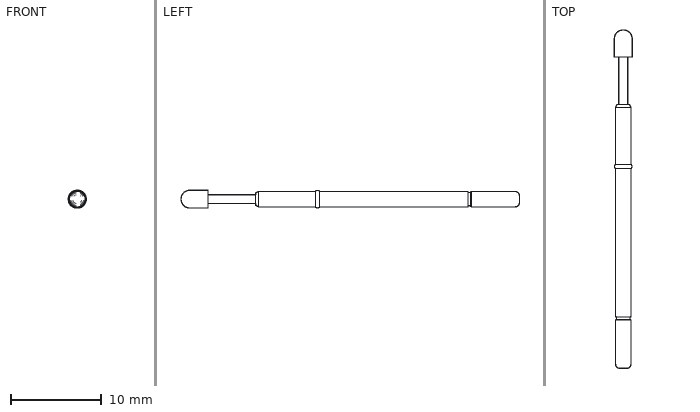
import cadquery as cq
import math


total_length = 37.3
head_length = 3.0
barrel_length = 29.08
bead_center = 22.25
bead_width = 0.48
groove_back = 5.32
groove_front = 5.68
groove_slope_length = 0.1

head_radius = 1.0
shaft_radius = 0.5
barrel_radius = 0.865
bead_radius = 0.98
mouth_radius = 0.7
groove_depth = 0.12

mouth_taper_length = 0.35
rear_round_radius = 0.5

head_back = total_length - head_length
dome_start = total_length - head_radius
bead_back = bead_center - bead_width / 2
bead_front = bead_center + bead_width / 2


def turn(profile):
    """Revolve a closed half-profile a full turn about the Y axis."""
    return profile.revolve(360, (0, 0, 0), (0, 1, 0))


def make_barrel():
    """Closed tube body: rounded rear end, stop bead and tapered mouth."""
    diagonal = rear_round_radius * math.cos(math.pi / 4)
    round_center_radius = barrel_radius - rear_round_radius
    profile = (
        cq.Workplane("XY")
        .moveTo(0, 0)
        .lineTo(round_center_radius, 0)
        .threePointArc(
            (round_center_radius + diagonal, rear_round_radius - diagonal),
            (barrel_radius, rear_round_radius),
        )
        .lineTo(barrel_radius, bead_back)
        .threePointArc((bead_radius, bead_center), (barrel_radius, bead_front))
        .lineTo(barrel_radius, barrel_length - mouth_taper_length)
        .lineTo(mouth_radius, barrel_length)
        .lineTo(0, barrel_length)
        .close()
    )
    return turn(profile)


def make_plunger():
    """Round shaft carrying a cylindrical head with a hemispherical tip."""
    diagonal = head_radius * math.cos(math.pi / 4)
    profile = (
        cq.Workplane("XY")
        .moveTo(0, barrel_length)
        .lineTo(shaft_radius, barrel_length)
        .lineTo(shaft_radius, head_back)
        .lineTo(head_radius, head_back)
        .lineTo(head_radius, dome_start)
        .threePointArc((diagonal, dome_start + diagonal), (0, total_length))
        .close()
    )
    return turn(profile)


def make_groove():
    """Ring that cuts the crimp groove; its rear wall slopes, its front wall is square."""
    floor_radius = barrel_radius - groove_depth
    profile = (
        cq.Workplane("XY")
        .moveTo(barrel_radius, groove_back)
        .lineTo(floor_radius, groove_back + groove_slope_length)
        .lineTo(floor_radius, groove_front)
        .lineTo(barrel_radius, groove_front)
        .close()
    )
    return turn(profile)


result = make_barrel().union(make_plunger()).cut(make_groove())